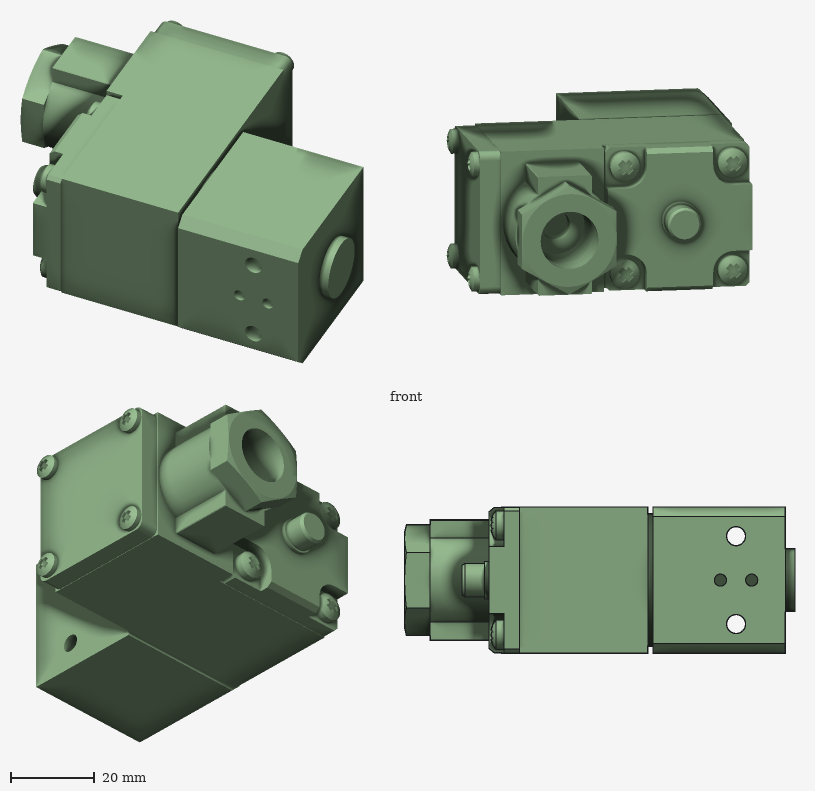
import cadquery as cq
import math

height = 35.0
plate_height = 34.85

housing_left = 23.2
housing_right = 58.2
housing_bottom = 2.7
housing_top = 62.6
recess_floor = 27.5
recess_top = 37.6

cover_bottom = 2.1
cover_width = 35.0
axis_y = cover_bottom + cover_width / 2

cover_face = 20.2
pocket_floor = 23.8
cover_corner = 0.9
bevel_depth = 1.3
bevel_height = 1.1
cover_screw_pitch = 26.2
pocket_radius = 5.0

plug_tip = 13.7
plug_diameter = 8.0
plug_tip_diameter = 7.0
plug_bevel = 0.75
collar_start = 19.2
collar_diameter = 9.0

gland_y = 50.1
nut_length = 6.2
nut_across_flats = 23.0
nut_face_diameter = 22.6
nut_corner_trim = 0.5
gland_diameter = 24.0
gland_block_width = 13.1
gland_block_height = 29.0
gland_block_chamfer = 0.2
cable_bore_diameter = 14.0
cable_bore_depth = 18.7
wire_hole_diameter = 7.0

cap_left = 23.5
cap_thickness = 5.0
cap_corner_radius = 2.0
cap_screw_pitch_x = 28.4
cap_screw_pitch_z = 28.0

cover_screw = (7.0, 2.0, 1.3)
cap_screw = (6.0, 1.4, 0.9)

cross_span_ratio = 0.52
cross_arm_ratio = 0.23
cross_depth = 0.9

neck_diameter = 31.8
head_left = 59.4
head_right = 91.1
head_top = 37.1
head_bevel_y = 2.5
head_bevel_z = 2.3
stub_end = 93.4
stub_diameter = 15.0
mount_hole_diameter = 4.5
hole_group_x = 79.3
mount_hole_pitch = 21.0
port_diameter = 2.9
port_depth = 9.3
port_pitch = 7.5
pin_diameter = 2.2
pin_height = 0.9
pin_x_places = (67.1, 71.0)


def slab(x0, x1, y0, y1, z_size):
    """Block between two X and two Y places, centred on the mid height."""
    middle = ((x0 + x1) / 2, (y0 + y1) / 2, 0)
    return cq.Workplane("XY").box(x1 - x0, y1 - y0, z_size).translate(middle)


def rod_x(x0, x1, y, z, diameter):
    """Round bar along X."""
    return cq.Workplane("YZ", origin=(x0, y, z)).circle(diameter / 2).extrude(x1 - x0)


def rod_y(y0, y1, x, z, diameter):
    """Round bar along +Y."""
    return cq.Workplane("XZ", origin=(x, y0, z)).circle(diameter / 2).extrude(y0 - y1)


def pan_screw(diameter, side, dome):
    """Screw head standing on Z = 0, with a diagonal cross recess in its dome."""
    radius = diameter / 2
    crown = side + dome
    dome_radius = (radius**2 + dome**2) / (2 * dome)
    mid_radius = radius / 2
    mid_height = crown - dome_radius + math.sqrt(dome_radius**2 - mid_radius**2)
    head = (
        cq.Workplane("XZ")
        .lineTo(radius, 0)
        .lineTo(radius, side)
        .threePointArc((mid_radius, mid_height), (0, crown))
        .close()
        .revolve(360, (0, 0, 0), (0, 1, 0))
    )
    for angle in (45, 135):
        span = cross_span_ratio * diameter
        arm = cq.Workplane("XY").box(span, cross_arm_ratio * diameter, 2 * cross_depth)
        head = head.cut(arm.rotate((0, 0, 0), (0, 0, 1), angle).translate((0, 0, crown)))
    return head


def make_housing():
    body = slab(housing_left, housing_right, housing_bottom, housing_top, height)
    recess = slab(housing_left, recess_floor, housing_bottom, recess_top, height)
    return body.cut(recess)


def make_cover():
    cover_top = cover_bottom + cover_width
    cover = slab(cover_face, recess_floor, cover_bottom, cover_top, plate_height)
    cover = cover.edges("|X").chamfer(cover_corner)
    for side in (-1, 1):
        edge_z = side * plate_height / 2
        bevel = (
            cq.Workplane("XZ", origin=(0, cover_bottom, 0))
            .moveTo(cover_face, edge_z)
            .lineTo(cover_face + bevel_depth, edge_z)
            .lineTo(cover_face, edge_z - side * bevel_height)
            .close()
            .extrude(-cover_width)
        )
        cover = cover.cut(bevel)
    pocket_size = cover_width - cover_screw_pitch + 2 * pocket_radius
    shift = pocket_size / 2 - pocket_radius
    for side_y in (-1, 1):
        for side_z in (-1, 1):
            y = axis_y + side_y * cover_screw_pitch / 2
            z = side_z * cover_screw_pitch / 2
            pocket = (
                cq.Workplane("YZ", origin=(cover_face, y + side_y * shift, z + side_z * shift))
                .rect(pocket_size, pocket_size)
                .extrude(pocket_floor - cover_face)
                .edges("|X")
                .fillet(pocket_radius)
            )
            cover = cover.cut(pocket)
            screw = pan_screw(*cover_screw).rotate((0, 0, 0), (0, 1, 0), -90)
            cover = cover.union(screw.translate((pocket_floor, y, z)))
    return cover


def make_plug():
    tip = rod_x(plug_tip, collar_start, axis_y, 0, plug_diameter)
    tip = tip.faces("<X").chamfer(plug_bevel, (plug_diameter - plug_tip_diameter) / 2)
    return tip.union(rod_x(collar_start, cover_face, axis_y, 0, collar_diameter))


def make_gland():
    corner_diameter = nut_across_flats / math.cos(math.pi / 6)
    nut = (
        cq.Workplane("YZ")
        .polygon(6, corner_diameter)
        .extrude(nut_length)
        .rotate((0, 0, 0), (1, 0, 0), 90)
        .translate((0, gland_y, 0))
    )
    trim = rod_x(0, nut_length, gland_y, 0, corner_diameter)
    trim = trim.faces("<X").chamfer(nut_corner_trim, (corner_diameter - nut_face_diameter) / 2)
    half_width = gland_block_width / 2
    body = rod_x(nut_length, housing_left, gland_y, 0, gland_diameter)
    block = slab(nut_length, housing_left, gland_y - half_width, gland_y + half_width, gland_block_height)
    block = block.edges("|X").chamfer(gland_block_chamfer)
    gland = nut.intersect(trim).union(body).union(block)
    gland = gland.cut(rod_x(0, cable_bore_depth, gland_y, 0, cable_bore_diameter))
    return gland.cut(rod_x(0, housing_left, gland_y, 0, wire_hole_diameter))


def make_cap():
    cap_face = housing_top + cap_thickness
    cap = slab(cap_left, housing_right, housing_top, cap_face, plate_height)
    cap = cap.edges("|Y").fillet(cap_corner_radius)
    middle_x = (cap_left + housing_right) / 2
    for side_x in (-1, 1):
        for side_z in (-1, 1):
            screw = pan_screw(*cap_screw).rotate((0, 0, 0), (1, 0, 0), -90)
            x = middle_x + side_x * cap_screw_pitch_x / 2
            z = side_z * cap_screw_pitch_z / 2
            cap = cap.union(screw.translate((x, cap_face, z)))
    return cap


def make_head():
    half = height / 2
    head = (
        cq.Workplane("YZ", origin=(head_left, 0, 0))
        .moveTo(0, half - head_bevel_z)
        .lineTo(head_bevel_y, half)
        .lineTo(head_top, half)
        .lineTo(head_top, -half)
        .lineTo(head_bevel_y, -half)
        .lineTo(0, head_bevel_z - half)
        .close()
        .extrude(head_right - head_left)
    )
    for side in (-1, 1):
        mount_z = side * mount_hole_pitch / 2
        head = head.cut(rod_y(0, head_top, hole_group_x, mount_z, mount_hole_diameter))
        head = head.cut(rod_y(0, port_depth, hole_group_x + side * port_pitch / 2, 0, port_diameter))
    for x in pin_x_places:
        head = head.union(rod_y(head_top, head_top + pin_height, x, 0, pin_diameter))
    neck = rod_x(housing_right, head_left, axis_y, 0, neck_diameter)
    stub = rod_x(head_right, stub_end, axis_y, 0, stub_diameter)
    return head.union(neck).union(stub)


result = (
    make_housing()
    .union(make_cover())
    .union(make_plug())
    .union(make_gland())
    .union(make_cap())
    .union(make_head())
)